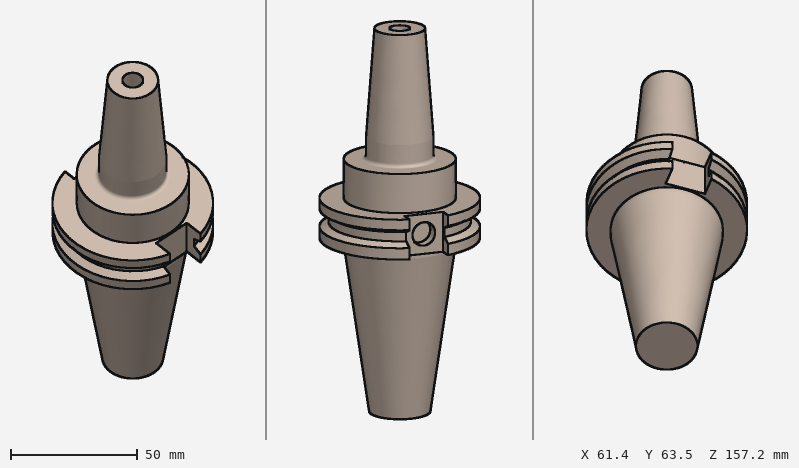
import cadquery as cq

total_height = 157.2
gauge_height = 68.5
flange_bottom = 71.2
flange_top = 87.5
collar_top = 103.5
nose_base = 112.8

collar_radius = 22.2
flange_diameter = 63.5
flange_radius = flange_diameter / 2
neck_radius = 13.4
nose_tip_radius = 10.0
neck_fillet = 1.5
taper_ratio = 7 / 24
small_end_radius = collar_radius - gauge_height * taper_ratio / 2

groove_center = 79.5
groove_radius = 28.1
groove_floor_width = 3.8
groove_mouth_width = 7.4

slot_width = 16.3
left_slot_floor = 25.3
right_slot_floor = 22.6

chip_hole_diameter = 9.6
chip_hole_depth = 5.0
tool_bore_diameter = 8.2
tool_bore_depth = total_height - nose_base


def turned_body():
    """Revolve the taper, flange, collar, neck and nose about Z."""
    floor_half = groove_floor_width / 2
    mouth_half = groove_mouth_width / 2
    return (
        cq.Workplane("XZ")
        .lineTo(small_end_radius, 0)
        .lineTo(collar_radius, gauge_height)
        .lineTo(collar_radius, flange_bottom)
        .lineTo(flange_radius, flange_bottom)
        .lineTo(flange_radius, groove_center - mouth_half)
        .lineTo(groove_radius, groove_center - floor_half)
        .lineTo(groove_radius, groove_center + floor_half)
        .lineTo(flange_radius, groove_center + mouth_half)
        .lineTo(flange_radius, flange_top)
        .lineTo(collar_radius, flange_top)
        .lineTo(collar_radius, collar_top)
        .lineTo(neck_radius + neck_fillet, collar_top)
        .radiusArc((neck_radius, collar_top + neck_fillet), neck_fillet)
        .lineTo(neck_radius, nose_base)
        .lineTo(nose_tip_radius, total_height)
        .lineTo(0, total_height)
        .close()
        .revolve(360, (0, 0, 0), (0, 1, 0))
    )


def drive_slot(side, floor_distance):
    """Cutter for a slot through the flange height; side is -1 or +1 along X."""
    depth = flange_radius - floor_distance
    return (
        cq.Workplane("XY", origin=(side * (floor_distance + depth / 2), 0, flange_bottom))
        .box(depth, slot_width, flange_top - flange_bottom, centered=(True, True, False))
    )


def chip_hole():
    """Cutter for the blind hole in the floor of the -X slot."""
    hole_height = (flange_bottom + flange_top) / 2
    return (
        cq.Workplane("YZ", origin=(-left_slot_floor, 0, hole_height))
        .circle(chip_hole_diameter / 2)
        .extrude(chip_hole_depth)
    )


def tool_bore():
    """Cutter for the blind tool bore in the nose."""
    return (
        cq.Workplane("XY", origin=(0, 0, total_height))
        .circle(tool_bore_diameter / 2)
        .extrude(-tool_bore_depth)
    )


result = (
    turned_body()
    .cut(drive_slot(-1, left_slot_floor))
    .cut(drive_slot(1, right_slot_floor))
    .cut(chip_hole())
    .cut(tool_bore())
)